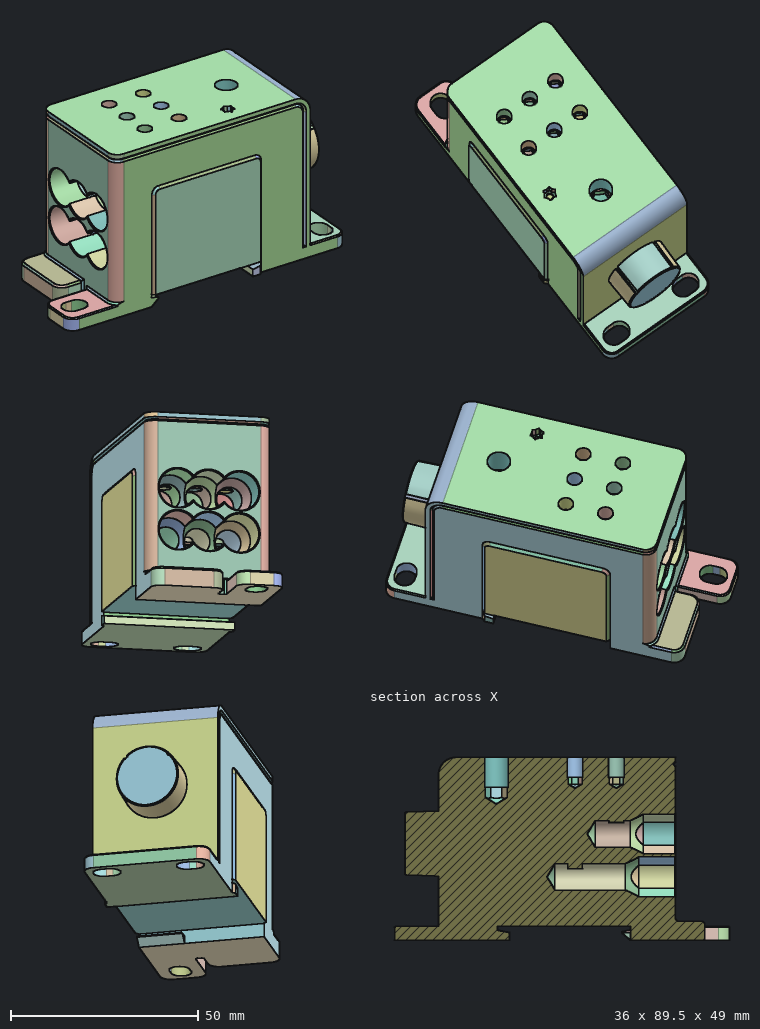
import cadquery as cq
import math


total_length = 89.5
total_height = 49.0
total_width = 36.0

body_width = 34.5
body_front = 14.4
body_rear = 77.8
corner_radius = 3.0
top_rear_radius = 4.7

cover_thickness = 1.9
groove_depth = 0.5

rail_front = 26.5
rail_rear = 61.9
rail_height = 3.8
pad_top = 36.1
pad_corner_radius = 2.15
pad_thickness = (total_width - body_width) / 2
pad_bevel = 0.85

rear_hook_reach = 3.2
rear_hook_tip_height = 2.15
rear_hook_root_height = 2.8
front_hook_reach = 2.3
front_hook_tip_low = 2.1
front_hook_tip_high = 2.3
front_hook_root_height = 2.9

foot_height = 3.85
foot_bevel = 0.4
slot_width = 5.55
slot_length = 7.4
front_foot_left = 4.65
front_slot_place = (10.9, 5.8)
rear_slot_offset = 11.5
rear_slot_y = 84.9
stop_height = 5.2
stop_front = 6.5
stop_right = 2.4
stop_bevel = 0.5
root_bevel = 0.5

entry_pitch = 8.5
entry_diameter = 10.5
entry_rim = 0.3
wire_diameter = 7.0
upper_row_z = 28.5
lower_row_z = 17.0
upper_entry_depth = 8.6
lower_entry_depth = 9.85
funnel_length = 3.6
upper_wire_depth = 21.5
lower_wire_depth = 32.2
drill_angle = 118.0

hex_sides = 6
clamp_diameter = 4.0
clamp_socket = 3.1
front_clamp_y = 30.25
rear_clamp_y = 41.3
clamp_hole_depth = 5.4
clamp_socket_depth = 1.8
upper_clamp_tip_z = 31.5
lower_clamp_tip_z = 19.15
main_diameter = 6.2
main_socket = 5.0
main_y = 62.3
main_hole_depth = 8.05
main_socket_depth = 2.7

star_place = (11.55, 54.95)
star_outer_radius = 1.9
star_inner_radius = 1.4
star_points = 6
star_depth = 2.7
star_hole_diameter = 2.0
star_hole_depth = 3.6

sleeve_z = 25.9
sleeve_end = 86.7
sleeve_root_radius = 8.8
sleeve_end_radius = 8.5
sleeve_edge = 0.31
sleeve_groove_width = 1.0
sleeve_groove_depth = 0.45
sleeve_groove_angle = 45.0


def block(x_min, x_max, y_min, y_max, z_min, z_max):
    size = (x_max - x_min, y_max - y_min, z_max - z_min)
    return cq.Workplane("XY").box(*size, centered=False).translate((x_min, y_min, z_min))


def housing_shape(inset):
    """Rounded housing block with its top and rear faces moved inward by the inset."""
    half = body_width / 2
    shape = block(-half, half, body_front, body_rear - inset, 0, total_height - inset)
    shape = shape.edges("|Z and <Y").fillet(corner_radius)
    return shape.edges("|X and >Z and >Y").fillet(top_rear_radius - inset)


def housing_with_cover():
    """Inner block and cover; their bevelled rims meet in a V-groove."""
    seam_z = total_height - cover_thickness
    rim_point = cq.selectors.NearestToPointSelector((0, body_front, seam_z))
    inner = housing_shape(cover_thickness)
    cover = housing_shape(0).cut(inner)
    cover = cover.edges(rim_point).chamfer(groove_depth)
    return inner.edges(rim_point).chamfer(groove_depth).union(cover)


def pad_block(z_min):
    """Block across the housing whose ends stand out as bevelled side pads."""
    half = total_width / 2
    pads = block(-half, half, rail_front, rail_rear, z_min, pad_top)
    pads = pads.edges("|X and >Z").fillet(pad_corner_radius)
    for side in ("<X", ">X"):
        pads = pads.faces(side).edges("not <Z").chamfer(pad_bevel, pad_thickness)
    return pads


def rear_hook():
    profile = [
        (rail_rear, 0),
        (rail_rear, rear_hook_root_height),
        (rail_rear - rear_hook_reach, rear_hook_tip_height),
        (rail_rear - rear_hook_reach, 0),
    ]
    hook = cq.Workplane("YZ").polyline(profile).close().extrude(total_width / 2, both=True)
    return hook.intersect(pad_block(0))


def front_hook():
    """Wedge-shaped hook behind the front foot, its inner end leaning over above the tip."""
    tip_y = rail_front + front_hook_reach
    profile = [
        (rail_front, 0),
        (tip_y, front_hook_tip_low),
        (tip_y, front_hook_tip_high),
        (rail_front, front_hook_root_height),
    ]
    lean = front_hook_root_height - front_hook_tip_low
    end_view = [
        (front_foot_left, 0),
        (front_foot_left, front_hook_tip_low),
        (front_foot_left + lean, front_hook_root_height),
        (body_width / 2, front_hook_root_height),
        (body_width / 2, 0),
    ]
    hook = cq.Workplane("YZ").polyline(profile).close().extrude(total_width)
    limits = cq.Workplane("XZ").polyline(end_view).close().extrude(-total_length)
    return hook.intersect(limits)


def foot(x_min, x_max, y_min, y_max, height, rounded, bevel):
    """Flat foot with two rounded outer corners and a bevelled upper rim."""
    plate = block(x_min, x_max, y_min, y_max, 0, height)
    plate = plate.edges(f"|Z and {rounded}").fillet(corner_radius)
    return plate.faces(">Z").edges(rounded).chamfer(bevel)


def foot_root(x_min, x_max, height, outer, inner):
    """45 degree bevel along the top and the inner side of a foot where it leaves the front face."""
    half = body_width / 2
    top = height + root_bevel
    root = block(x_min - root_bevel, x_max + root_bevel, body_front - root_bevel, rail_front, 0, top)
    root = root.edges(f"|Z and <Y and {outer}").fillet(corner_radius + root_bevel)
    root = root.edges(f"(|X and >Z and <Y) or (|Z and <Y and {inner})").chamfer(root_bevel)
    return root.intersect(block(-half, half, 0, total_length, 0, total_height))


def foot_slot(place, angle):
    slot = cq.Workplane("XY").slot2D(slot_length, slot_width, angle).extrude(stop_height)
    return slot.translate((*place, 0))


def drill_tip_height(diameter):
    return diameter / 2 / math.tan(math.radians(drill_angle / 2))


def wire_entry(entry_depth, wire_depth):
    """Revolved cutter along +Y: rim, wide bore, funnel, wire bore and drill point."""
    entry_radius = entry_diameter / 2
    wire_radius = wire_diameter / 2
    profile = (
        cq.Workplane("XY")
        .lineTo(entry_radius + entry_rim, 0)
        .lineTo(entry_radius, entry_rim)
        .lineTo(entry_radius, entry_depth)
        .lineTo(wire_radius, entry_depth + funnel_length)
        .lineTo(wire_radius, wire_depth)
        .lineTo(0, wire_depth + drill_tip_height(wire_diameter))
        .close()
    )
    return profile.revolve(360, (0, 0, 0), (0, 1, 0))


def clamp_stem(tip_z):
    length = total_height - tip_z
    return cq.Workplane("XY").circle(clamp_diameter / 2).extrude(length).translate((0, 0, tip_z))


def screw_hole(diameter, hole_depth, socket, socket_depth):
    """Cutter for a round hole down to a screw head with a hexagon socket in it."""
    hex_diameter = socket / math.cos(math.pi / hex_sides)
    tip_height = drill_tip_height(hex_diameter)
    hole = cq.Workplane("XY").circle(diameter / 2).extrude(-hole_depth)
    hexagon = (
        cq.Workplane("XY", origin=(0, 0, -hole_depth))
        .transformed(rotate=(0, 0, 180 / hex_sides))
        .polygon(hex_sides, hex_diameter)
        .extrude(-socket_depth - tip_height)
    )
    point_profile = [
        (0, -tip_height),
        (hex_diameter / 2, 0),
        (hex_diameter / 2, socket_depth),
        (0, socket_depth),
    ]
    point = (
        cq.Workplane("XZ", origin=(0, 0, -hole_depth - socket_depth))
        .polyline(point_profile)
        .close()
        .revolve(360, (0, 0, 0), (0, 1, 0))
    )
    return hole.union(hexagon.intersect(point)).translate((0, 0, total_height))


def star_recess():
    """Star-shaped recess with a deeper round hole in its floor."""
    corners = []
    for step in range(2 * star_points):
        radius = star_inner_radius if step % 2 else star_outer_radius
        angle = math.pi * step / star_points
        corners.append((radius * math.cos(angle), radius * math.sin(angle)))
    star = cq.Workplane("XY").polyline(corners).close().extrude(-star_depth)
    hole = cq.Workplane("XY").circle(star_hole_diameter / 2).extrude(-star_hole_depth)
    return star.union(hole).translate((*star_place, total_height))


def cable_sleeve():
    """Tapered sleeve with two lengthwise grooves in its upper half."""
    root_y = body_rear - cover_thickness
    profile = [
        (0, root_y),
        (sleeve_root_radius, root_y),
        (sleeve_root_radius, body_rear),
        (sleeve_end_radius, sleeve_end),
        (0, sleeve_end),
    ]
    sleeve = cq.Workplane("XY").polyline(profile).close().revolve(360, (0, 0, 0), (0, 1, 0))
    sleeve = sleeve.faces(">Y").edges().chamfer(sleeve_edge)
    half_groove = sleeve_groove_width / 2
    floor = sleeve_end_radius - sleeve_groove_depth
    groove = block(-half_groove, half_groove, body_rear, sleeve_end, floor, sleeve_root_radius)
    for angle in (-sleeve_groove_angle, sleeve_groove_angle):
        sleeve = sleeve.cut(groove.rotate((0, 0, 0), (0, 1, 0), angle))
    return sleeve.translate((0, 0, sleeve_z))


half_width = body_width / 2

result = housing_with_cover().union(pad_block(rail_height))
result = result.cut(block(-total_width, total_width, rail_front, rail_rear, 0, rail_height))
result = result.union(rear_hook()).union(front_hook())

result = result.union(foot(front_foot_left, half_width, 0, rail_front, foot_height, "<Y", foot_bevel))
result = result.union(foot(-half_width, stop_right, stop_front, rail_front, stop_height, "<Y", stop_bevel))
result = result.union(foot_root(front_foot_left, half_width, foot_height, ">X", "<X"))
result = result.union(foot_root(-half_width, stop_right, stop_height, "<X", ">X"))
result = result.union(foot(-half_width, half_width, rail_rear, total_length, foot_height, ">Y", foot_bevel))
result = result.cut(foot_slot(front_slot_place, 90))
for slot_x in (-rear_slot_offset, rear_slot_offset):
    result = result.cut(foot_slot((slot_x, rear_slot_y), 0))

result = result.union(cable_sleeve())

rows = [
    (upper_row_z, upper_entry_depth, upper_wire_depth, front_clamp_y, upper_clamp_tip_z),
    (lower_row_z, lower_entry_depth, lower_wire_depth, rear_clamp_y, lower_clamp_tip_z),
]
clamp_hole = screw_hole(clamp_diameter, clamp_hole_depth, clamp_socket, clamp_socket_depth)
for row_z, entry_depth, wire_depth, clamp_y, tip_z in rows:
    for column in (-1, 0, 1):
        x = column * entry_pitch
        result = result.cut(wire_entry(entry_depth, wire_depth).translate((x, body_front, row_z)))
    for column in (-1, 0, 1):
        x = column * entry_pitch
        result = result.union(clamp_stem(tip_z).translate((x, clamp_y, 0)))
        result = result.cut(clamp_hole.translate((x, clamp_y, 0)))

main_hole = screw_hole(main_diameter, main_hole_depth, main_socket, main_socket_depth)
result = result.cut(main_hole.translate((0, main_y, 0)))
result = result.cut(star_recess())